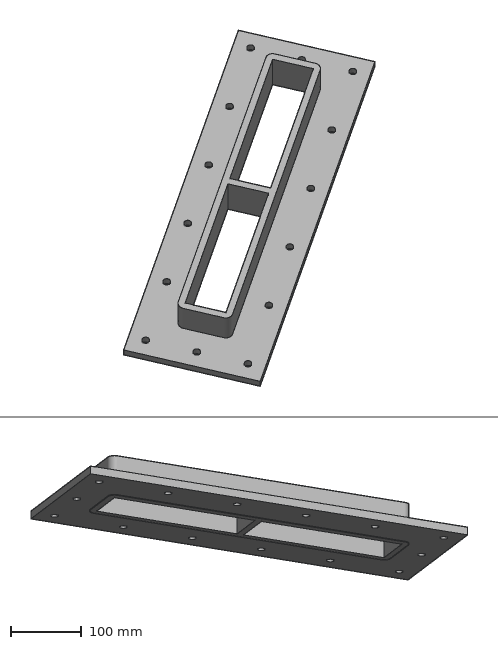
import cadquery as cq

plate_width = 200.5
plate_length = 586.0
plate_thickness = 12.0

duct_width = 79.5
duct_length = 466.5
duct_height = 60.0
duct_corner_radius = 10.0
wall = 10.0
lip_below_plate = 1.0

hole_diameter = 10.5
hole_edge_distance = 25.0
holes_per_side = 6

opening_width = duct_width - 2 * wall
opening_length = (duct_length - 3 * wall) / 2
opening_offset = (opening_length + wall) / 2


def bolt_positions():
    """Evenly spaced holes down both long sides, plus one centred at each end."""
    side_x = plate_width / 2 - hole_edge_distance
    end_y = plate_length / 2 - hole_edge_distance
    pitch = 2 * end_y / (holes_per_side - 1)
    positions = [(0, -end_y), (0, end_y)]
    for index in range(holes_per_side):
        y = -end_y + index * pitch
        positions += [(-side_x, y), (side_x, y)]
    return positions


def make_plate():
    """Flat flange with its bolt holes; its underside lies at Z = 0."""
    plate = cq.Workplane("XY").rect(plate_width, plate_length).extrude(plate_thickness)
    holes = (
        cq.Workplane("XY")
        .pushPoints(bolt_positions())
        .circle(hole_diameter / 2)
        .extrude(plate_thickness)
    )
    return plate.cut(holes)


def make_duct_body():
    """Solid outer envelope of the duct, protruding slightly below the plate."""
    return (
        cq.Workplane("XY", origin=(0, 0, -lip_below_plate))
        .rect(duct_width, duct_length)
        .extrude(duct_height)
        .edges("|Z")
        .fillet(duct_corner_radius)
    )


def make_openings():
    """Two square-cornered passages separated by a central partition."""
    return (
        cq.Workplane("XY", origin=(0, 0, -lip_below_plate))
        .pushPoints([(0, -opening_offset), (0, opening_offset)])
        .rect(opening_width, opening_length)
        .extrude(duct_height)
    )


result = make_plate().union(make_duct_body()).cut(make_openings())